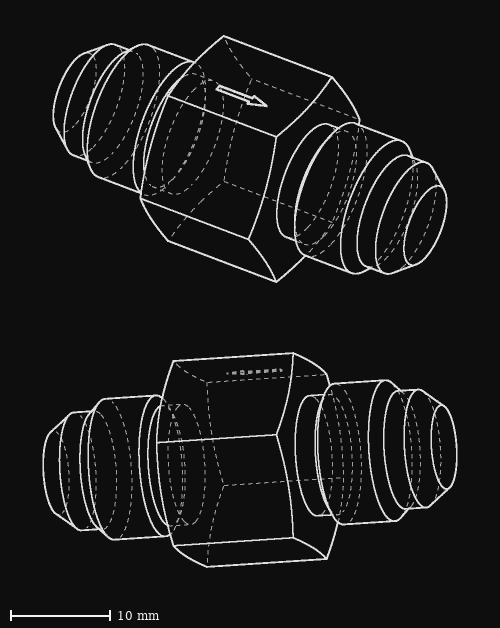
import cadquery as cq
import math

total_length = 41.15
hex_length = 13.5
hex_across_flats = 19.05
hex_chamfer_angle = 15.0

nose_diameter = 11.96
thread_diameter = 14.28
neck_diameter = 12.17

nose_cone_start = 18.27
thread_lead_start = 14.86
thread_inner_end = 9.47
nose_half_angle = 37.0
lead_half_angle = 43.0
undercut_half_angle = 60.0

arrow_tail_x = -2.7
arrow_head_x = 1.13
arrow_tip_x = 3.03
arrow_center_y = -1.76
arrow_shaft_width = 0.65
arrow_head_width = 1.4
arrow_depth = 0.1

half_length = total_length / 2
half_hex = hex_length / 2
hex_across_corners = hex_across_flats / math.cos(math.radians(30))
nose_radius = nose_diameter / 2
thread_radius = thread_diameter / 2
neck_radius = neck_diameter / 2


def slope(angle):
    """Rise in radius per unit of axial length for a cone half-angle in degrees."""
    return math.tan(math.radians(angle))


def revolve_about_x(profile_points):
    """Solid of revolution about X from (axial, radial) points."""
    profile = cq.Workplane("XY").polyline(profile_points).close()
    return profile.revolve(360, (0, 0, 0), (1, 0, 0))


def make_end():
    """Threaded end with a flared nose cone on the +X side, solid as far as the middle."""
    tip_radius = nose_radius - (half_length - nose_cone_start) * slope(nose_half_angle)
    lead_end = thread_lead_start + (thread_radius - nose_radius) / slope(lead_half_angle)
    neck_end = thread_inner_end - (thread_radius - neck_radius) / slope(undercut_half_angle)
    return revolve_about_x([
        (0, 0),
        (half_length, 0),
        (half_length, tip_radius),
        (nose_cone_start, nose_radius),
        (lead_end, nose_radius),
        (thread_lead_start, thread_radius),
        (thread_inner_end, thread_radius),
        (neck_end, neck_radius),
        (0, neck_radius),
    ])


def make_hex():
    """Hexagon along X with flats at top and bottom and conically chamfered corners."""
    prism = cq.Workplane("YZ").polygon(6, hex_across_corners).extrude(half_hex, both=True)
    face_radius = hex_across_flats / 2
    corner_radius = hex_across_corners / 2
    chamfer_length = (corner_radius - face_radius) * slope(hex_chamfer_angle)
    chamfer_start = half_hex - chamfer_length
    envelope = revolve_about_x([
        (-half_hex, 0),
        (-half_hex, face_radius),
        (-chamfer_start, corner_radius),
        (chamfer_start, corner_radius),
        (half_hex, face_radius),
        (half_hex, 0),
    ])
    return prism.intersect(envelope)


def make_arrow():
    """Cutter for the flow arrow, sunk from the top flat."""
    half_shaft = arrow_shaft_width / 2
    half_head = arrow_head_width / 2
    top_flat = cq.Workplane("XY", origin=(0, arrow_center_y, hex_across_flats / 2))
    outline = top_flat.polyline([
        (arrow_tail_x, -half_shaft),
        (arrow_head_x, -half_shaft),
        (arrow_head_x, -half_head),
        (arrow_tip_x, 0),
        (arrow_head_x, half_head),
        (arrow_head_x, half_shaft),
        (arrow_tail_x, half_shaft),
    ]).close()
    return outline.extrude(-arrow_depth)


right_end = make_end()
left_end = right_end.mirror("YZ")
result = make_hex().union(right_end).union(left_end).cut(make_arrow())